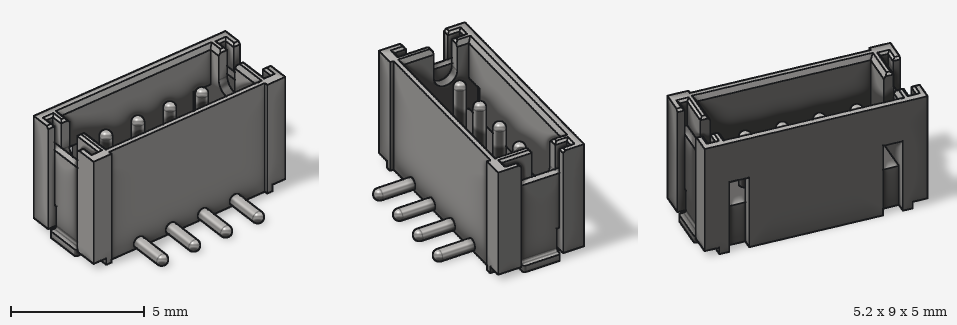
import cadquery as cq


length = 9.0
height = 5.0
flange_width = 3.7
body_width = 3.55
flange_length = 0.85

wall = 0.4
cavity_right = 3.2
cavity_end = 3.5
cavity_chamfer = 0.15
cavity_chamfer_depth = 0.2
ledge_edge = 1.85
ledge_top = 1.8
low_floor = 1.0
ramp_end = 2.0
ramp_drop = 0.035

skin = 0.3
slot_width = 0.3
slot_floor = 3.8
slot_chamfer = 0.1
outer_gap_left = 0.9
outer_gap_right = 2.7
inner_gap_left = outer_gap_left
inner_gap_width = 1.0
inner_gap_round_z = 3.7

foot_left = 1.0
foot_right = 2.6
foot_lip_height = 0.3
foot_lip_fillet = 0.1
foot_heel_radius = 0.3
side_slot_top = 1.28

window_offset = 1.0
window_width = 0.8
window_top = 3.2

pin_count = 4
pin_pitch = 1.5
pin_diameter = 0.5
pin_x = 1.5
pin_top = 4.2
pin_reach = 5.2

end_face = -length / 2
skin_face = end_face + skin
slot_inner_face = skin_face + slot_width


def block(x0, x1, y0, y1, z0, z1):
    """Box between the given limits."""
    return cq.Workplane("XY").box(x1 - x0, y1 - y0, z1 - z0, centered=False).translate((x0, y0, z0))


def top_pocket(x0, x1, y0, y1, floor, chamfer, chamfer_depth):
    """Rectangular pocket open at the top, with a chamfered rim."""
    width = x1 - x0
    depth = y1 - y0
    rim = (
        cq.Workplane("XY", origin=((x0 + x1) / 2, (y0 + y1) / 2, height - chamfer_depth))
        .rect(width, depth)
        .workplane(offset=chamfer_depth)
        .rect(width + 2 * chamfer, depth + 2 * chamfer)
        .loft(ruled=True)
    )
    return block(x0, x1, y0, y1, floor, height).union(rim)


def both_ends(shape):
    """The shape together with its mirror image at the +Y end."""
    return shape.union(shape.mirror("XZ"))


def housing_block():
    """Solid housing with a wider flange at each end."""
    flange = block(0, flange_width, end_face, end_face + flange_length, 0, height)
    return block(0, body_width, end_face, -end_face, 0, height).union(both_ends(flange))


def cavity():
    """Pin cavity with a raised ledge around the pins and a lower floor beside it."""
    pocket = top_pocket(
        wall, cavity_right, -cavity_end, cavity_end, ledge_top, cavity_chamfer, cavity_chamfer_depth
    )
    lower_part = block(ledge_edge, cavity_right, -cavity_end, cavity_end, low_floor, ledge_top)
    ramp = (
        cq.Workplane("XZ", origin=(0, cavity_end, 0))
        .moveTo(ledge_edge, low_floor)
        .lineTo(ledge_edge, low_floor - ramp_drop)
        .lineTo(ramp_end, low_floor)
        .close()
        .extrude(2 * cavity_end)
    )
    return pocket.union(lower_part).union(ramp)


def end_openings():
    """Slot across the end, gap through the skin and round-bottomed gap into the cavity."""
    slot = top_pocket(
        wall, cavity_right, skin_face, slot_inner_face, slot_floor, slot_chamfer, slot_chamfer
    )
    outer_gap = top_pocket(
        outer_gap_left, outer_gap_right, end_face, skin_face, 0, slot_chamfer, slot_chamfer
    )
    radius = inner_gap_width / 2
    inner_gap = top_pocket(
        inner_gap_left, inner_gap_left + inner_gap_width, slot_inner_face, -cavity_end,
        inner_gap_round_z, slot_chamfer, slot_chamfer,
    )
    gap_bottom = (
        cq.Workplane("XZ", origin=(inner_gap_left + radius, slot_inner_face, inner_gap_round_z))
        .circle(radius)
        .extrude(slot_inner_face + cavity_end)
    )
    return slot.union(outer_gap).union(inner_gap).union(gap_bottom)


def foot_clearance():
    """Space below the flanges and the side slots that set the latch foot free."""
    under_left = block(0, foot_left, end_face, slot_inner_face, 0, foot_lip_height)
    under_right = block(foot_right, flange_width, end_face, slot_inner_face, 0, foot_lip_height)
    slot_left = block(outer_gap_left, foot_left, end_face, slot_inner_face, 0, side_slot_top)
    slot_right = block(foot_right, outer_gap_right, end_face, slot_inner_face, 0, side_slot_top)
    heel_y = slot_inner_face - foot_heel_radius
    heel = (
        cq.Workplane("YZ", origin=(foot_left, 0, 0))
        .moveTo(heel_y, 0)
        .radiusArc((slot_inner_face, foot_heel_radius), -foot_heel_radius)
        .lineTo(slot_inner_face, 0)
        .close()
        .extrude(foot_right - foot_left)
    )
    return under_left.union(under_right).union(slot_left).union(slot_right).union(heel)


def foot_lip():
    """Lip standing out from the foot, filleted into the end panel."""
    lip = (
        block(foot_left, foot_right, end_face, skin_face, 0, foot_lip_height)
        .edges("|Z and <Y")
        .fillet(foot_lip_fillet)
    )
    root = (
        cq.Workplane("YZ", origin=(foot_left, 0, 0))
        .moveTo(skin_face - foot_lip_fillet, foot_lip_height)
        .radiusArc((skin_face, foot_lip_height + foot_lip_fillet), -foot_lip_fillet)
        .lineTo(skin_face, foot_lip_height)
        .close()
        .extrude(foot_right - foot_left)
    )
    return lip.union(root)


def window():
    """Opening in the plain side wall, down to the underside."""
    start = end_face + window_offset
    return block(0, wall, start, start + window_width, 0, window_top)


def pin(y):
    """L-shaped round pin with hemispherical ends."""
    radius = pin_diameter / 2
    upright_length = pin_top - 2 * radius
    tail_length = pin_reach - radius - pin_x
    corner = (pin_x, y, radius)
    upright = cq.Workplane("XY", origin=corner).circle(radius).extrude(upright_length)
    tail = cq.Workplane("YZ", origin=corner).circle(radius).extrude(tail_length)
    bend = cq.Workplane("XY", origin=corner).sphere(radius)
    upright_tip = bend.translate((0, 0, upright_length))
    tail_tip = bend.translate((tail_length, 0, 0))
    return upright.union(tail).union(bend).union(upright_tip).union(tail_tip)


result = housing_block().cut(cavity())
result = result.cut(both_ends(end_openings()))
result = result.cut(both_ends(foot_clearance()))
result = result.cut(both_ends(window()))
result = result.union(both_ends(foot_lip()))
for i in range(pin_count):
    result = result.union(pin((i - (pin_count - 1) / 2) * pin_pitch))